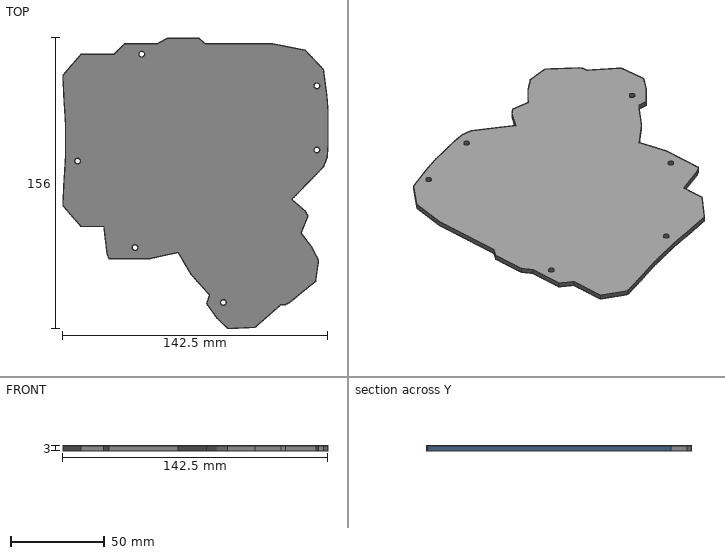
import cadquery as cq

WIDTH = 142.5
LENGTH = 156.0
THICKNESS = 3.0
HOLE_DIAMETER = 3.0

LEFT = -WIDTH / 2
RIGHT = WIDTH / 2
BACK = LENGTH / 2
FRONT = -LENGTH / 2

SHOULDER_Y = 75.0
LEFT_MID_Y = 23.1
LEFT_HALF_LENGTH = 46.3
LEFT_CORNER_X = -61.5
FRONT_LEFT_Y = -40.5
RIGHT_HOLE_X = 65.2

LEFT_FLANK_UPPER = [
    (LEFT_CORNER_X, LEFT_HALF_LENGTH),
    (-67.9, 39.0),
    (-70.7, 35.7),
    (LEFT, 34.8),
    (-70.7, 20.9),
    (-70.4, 16.8),
    (-69.9, 8.7),
]


def left_flank():
    """Left flank from bottom to top, mirrored about LEFT_MID_Y."""
    lower = [(x, LEFT_MID_Y - height) for x, height in LEFT_FLANK_UPPER]
    upper = [(x, LEFT_MID_Y + height) for x, height in reversed(LEFT_FLANK_UPPER)]
    return lower + upper


BACK_EDGE = [
    (-43.8, LEFT_MID_Y + LEFT_HALF_LENGTH),
    (-38.0, SHOULDER_Y),
    (-20.6, SHOULDER_Y),
    (-15.1, BACK),
    (1.9, BACK),
    (5.3, SHOULDER_Y),
    (41.3, SHOULDER_Y),
    (59.0, 71.6),
]

RIGHT_FLANK = [
    (68.8, 61.1),
    (70.7, 46.8),
    (RIGHT, 38.4),
    (RIGHT, 21.0),
    (70.8, 14.0),
    (68.8, 8.9),
]

FRONT_LOBE = [
    (51.8, -8.6),
    (59.0, -14.8),
    (60.5, -17.5),
    (56.8, -26.7),
    (62.4, -34.0),
    (66.1, -41.3),
    (64.6, -52.5),
    (50.4, -64.1),
    (48.2, -65.2),
    (45.9, -65.2),
    (32.0, -77.4),
    (18.3, FRONT),
    (17.2, -77.8),
    (11.4, -72.2),
    (6.0, -64.6),
    (7.5, -59.9),
    (-2.3, -49.0),
    (-9.4, -37.1),
]

LEFT_TAB = [
    (-25.0, FRONT_LEFT_Y),
    (-46.5, FRONT_LEFT_Y),
    (-47.5, -37.7),
    (-49.3, LEFT_MID_Y - LEFT_HALF_LENGTH),
]

HOLE_CENTRES = [
    (-28.9, 69.4),
    (RIGHT_HOLE_X, 52.4),
    (RIGHT_HOLE_X, 18.0),
    (-63.3, 12.0),
    (-32.5, -34.5),
    (15.0, -64.0),
]

outline = left_flank() + BACK_EDGE + RIGHT_FLANK + FRONT_LOBE + LEFT_TAB
plate = cq.Workplane("XY").polyline(outline).close().extrude(THICKNESS)

result = plate.faces(">Z").workplane(origin=(0, 0, THICKNESS)).pushPoints(HOLE_CENTRES).hole(HOLE_DIAMETER)